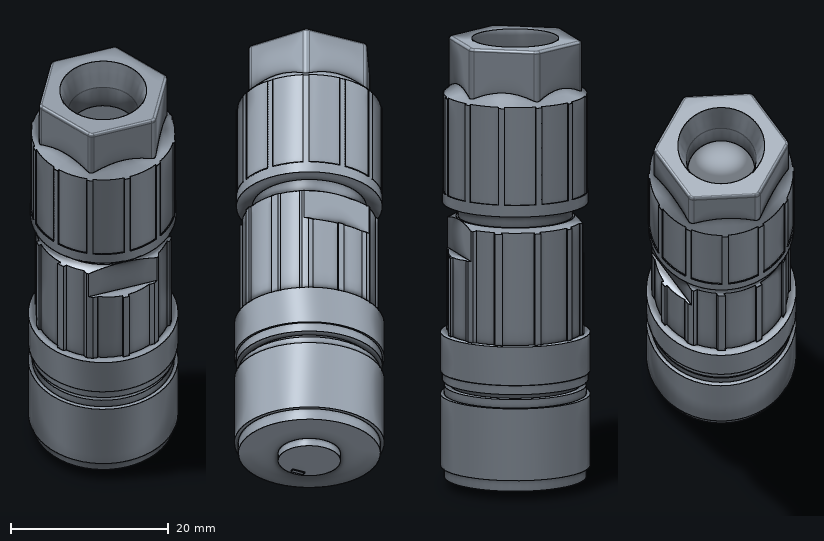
import cadquery as cq
import math

Z_PAD = 0.0
Z_PLUG = 0.15
Z_COLLAR = 1.2
Z_COUPLING = 2.7
Z_COUPLING_TOP = 12.0
Z_GROOVE = 13.1
Z_GROOVE_TOP = 13.8
Z_RING = 15.0
Z_RING_TOP = 20.0
Z_FLAT = 30.5
Z_BODY_TOP = 35.0
Z_NUT = 36.8
Z_NUT_PANEL = 38.3
Z_SPIGOT_TOP = 47.0
Z_NUT_CONE = 50.8
Z_TOP = 58.0

COUPLING_R = 9.5
PLUG_R = 3.95
COLLAR_R = 9.0
GROOVE_R = 8.2
STEP_R = 9.25
BODY_R = 8.8
BODY_PANEL_R = 8.5
NECK_R = 7.25

BEVEL_WIDTH = 1.3
BEVEL_HEIGHT = 0.6
FLAT_X = 7.5
FLAT_LEDGE_SLOPE = 15.0
RIB_WIDTH = 0.8
STRAIGHT_RIB_PITCH = 4.76
FLARED_RIB_ANGLE = 30.8
FLARED_RIB_FOOT_FLAT_SIDE = 1.0
FLARED_RIB_FOOT_FAR_SIDE = 0.75
PAD_X = (2.88, 3.4)
PAD_LENGTH = 1.75

NUT_R = 9.25
NUT_PANEL_R = 9.1
NUT_RIB_COUNT = 12
HEX_FLATS = 15.0
HEX_CORNER_R = 0.8
HEX_TOP_R = 0.35
CONE_SLOPE = 0.95
ENTRY_R = 5.5
THROAT_R = 4.42
FLOOR_R = 4.25
ENTRY_DEPTH = 3.5
HOLE_DEPTH = 6.5


def cylinder(radius, z_low, z_high):
    return cq.Workplane("XY").workplane(offset=z_low).circle(radius).extrude(z_high - z_low)


def block(x_size, y_size, z_low, z_high):
    return cq.Workplane("XY").workplane(offset=z_low).rect(x_size, y_size).extrude(z_high - z_low)


def revolved(points):
    """Solid of revolution about Z from (radius, z) points."""
    return cq.Workplane("XZ").polyline(points).close().revolve(360, (0, 0, 0), (0, 1, 0))


def housing_blank():
    return revolved([
        (0, Z_PLUG),
        (PLUG_R, Z_PLUG),
        (PLUG_R, Z_COLLAR),
        (COLLAR_R, Z_COLLAR),
        (COLLAR_R, Z_COUPLING),
        (COUPLING_R, Z_COUPLING),
        (COUPLING_R, Z_COUPLING_TOP),
        (COLLAR_R, Z_COUPLING_TOP),
        (COLLAR_R, Z_GROOVE),
        (GROOVE_R, Z_GROOVE),
        (GROOVE_R, Z_GROOVE_TOP),
        (STEP_R, Z_GROOVE_TOP),
        (STEP_R, Z_RING),
        (COUPLING_R, Z_RING),
        (COUPLING_R, Z_RING_TOP),
        (BODY_R, Z_RING_TOP),
        (BODY_R, Z_BODY_TOP - BEVEL_HEIGHT),
        (BODY_R - BEVEL_WIDTH, Z_BODY_TOP),
        (NECK_R, Z_BODY_TOP),
        (NECK_R, Z_SPIGOT_TOP),
        (0, Z_SPIGOT_TOP),
    ])


def flared_rib():
    """Rib across the full diameter, its sides spreading from the crest to the panel surface."""
    return (
        cq.Workplane("XY").workplane(offset=Z_RING_TOP)
        .polyline([
            (BODY_R, -RIB_WIDTH / 2),
            (BODY_R, RIB_WIDTH / 2),
            (BODY_PANEL_R, FLARED_RIB_FOOT_FAR_SIDE),
            (-BODY_PANEL_R, FLARED_RIB_FOOT_FLAT_SIDE),
            (-BODY_R, RIB_WIDTH / 2),
            (-BODY_R, -RIB_WIDTH / 2),
            (-BODY_PANEL_R, -FLARED_RIB_FOOT_FAR_SIDE),
            (BODY_PANEL_R, -FLARED_RIB_FOOT_FLAT_SIDE),
        ])
        .close()
        .extrude(Z_BODY_TOP - Z_RING_TOP)
        .rotate((0, 0, 0), (0, 0, 1), FLARED_RIB_ANGLE)
    )


def housing_panels():
    """Shallow recesses around the grip, leaving ribs between them."""
    length = 2 * COUPLING_R
    panels = cylinder(COUPLING_R, Z_RING_TOP, Z_BODY_TOP)
    panels = panels.cut(cylinder(BODY_PANEL_R, Z_RING_TOP, Z_BODY_TOP))
    for x in (-STRAIGHT_RIB_PITCH, 0, STRAIGHT_RIB_PITCH):
        panels = panels.cut(block(RIB_WIDTH, length, Z_RING_TOP, Z_BODY_TOP).translate((x, 0, 0)))
    panels = panels.cut(block(length, RIB_WIDTH, Z_RING_TOP, Z_BODY_TOP))
    rib = flared_rib()
    return panels.cut(rib).cut(rib.mirror("XZ"))


def wrench_flat():
    """Cutter for one flat on the +X side; its ledge falls away outwards."""
    reach = COUPLING_R - FLAT_X
    ledge_drop = reach * math.tan(math.radians(FLAT_LEDGE_SLOPE))
    return (
        cq.Workplane("XZ")
        .polyline([
            (FLAT_X, Z_FLAT),
            (COUPLING_R, Z_FLAT - ledge_drop),
            (COUPLING_R, Z_BODY_TOP),
            (FLAT_X, Z_BODY_TOP),
        ])
        .close()
        .extrude(COUPLING_R, both=True)
    )


def make_housing():
    body = housing_blank().cut(housing_panels())
    flat = wrench_flat()
    body = body.cut(flat).cut(flat.mirror("YZ"))
    pad_width = PAD_X[1] - PAD_X[0]
    pad = block(pad_width, PAD_LENGTH, Z_PAD, Z_COLLAR).translate((sum(PAD_X) / 2, 0, 0))
    return body.union(pad)


def nut_hexagon():
    corner_diameter = HEX_FLATS / math.cos(math.pi / 6)
    return (
        cq.Workplane("XY").workplane(offset=Z_NUT_PANEL)
        .polygon(6, corner_diameter)
        .extrude(Z_TOP - Z_NUT_PANEL)
        .rotate((0, 0, 0), (0, 0, 1), 30)
        .edges("|Z").fillet(HEX_CORNER_R)
        .faces(">Z").edges().fillet(HEX_TOP_R)
    )


def nut_barrel():
    """Round grip below the hexagon, with a conical shoulder."""
    shoulder_r = HEX_FLATS / 2 - HEX_CORNER_R
    shoulder_z = Z_NUT_CONE + CONE_SLOPE * (NUT_R - shoulder_r)
    return revolved([
        (0, Z_NUT),
        (NUT_R, Z_NUT),
        (NUT_R, Z_NUT_CONE),
        (shoulder_r, shoulder_z),
        (0, shoulder_z),
    ])


def nut_panels():
    """Shallow recesses around the barrel, leaving equally spaced ribs."""
    panels = cylinder(COUPLING_R, Z_NUT_PANEL, Z_TOP)
    panels = panels.cut(cylinder(NUT_PANEL_R, Z_NUT_PANEL, Z_TOP))
    full_rib = block(2 * COUPLING_R, RIB_WIDTH, Z_NUT_PANEL, Z_TOP)
    for i in range(NUT_RIB_COUNT // 2):
        panels = panels.cut(full_rib.rotate((0, 0, 0), (0, 0, 1), i * 360 / NUT_RIB_COUNT))
    return panels


def cable_entry():
    return revolved([
        (0, Z_TOP - HOLE_DEPTH),
        (FLOOR_R, Z_TOP - HOLE_DEPTH),
        (THROAT_R, Z_TOP - ENTRY_DEPTH),
        (ENTRY_R, Z_TOP),
        (0, Z_TOP),
    ])


def make_nut():
    nut = nut_barrel().cut(nut_panels()).union(nut_hexagon())
    spigot_socket = cylinder(NECK_R, Z_NUT, Z_SPIGOT_TOP)
    return nut.cut(cable_entry()).cut(spigot_socket)


housing = make_housing()
nut = make_nut()
result = cq.Compound.makeCompound([housing.val(), nut.val()])